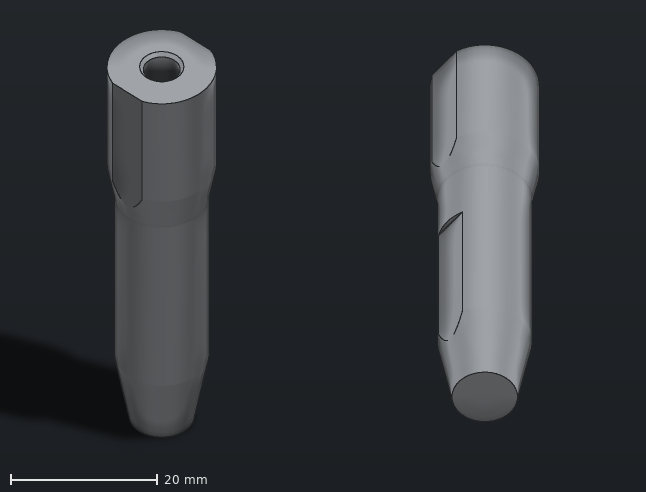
import cadquery as cq
import math

total_length = 65.0
head_diameter = 15.0
shank_diameter = 13.0
tip_height = 11.4
shank_top = 41.0
taper_angle = 10.0

across_flats = 14.0

relief_offset = 5.9
relief_height = 32.05

hole_diameter = 5.0
mouth_diameter = 6.05
hole_depth = 13.0

head_radius = head_diameter / 2
shank_radius = shank_diameter / 2
taper_slope = math.tan(math.radians(taper_angle))
tip_radius = shank_radius - tip_height * taper_slope
head_bottom = shank_top + (head_radius - shank_radius) / taper_slope


def turned_body():
    """Revolve the half profile: tip cone, shank, upper cone and head."""
    profile = [
        (0, 0),
        (tip_radius, 0),
        (shank_radius, tip_height),
        (shank_radius, shank_top),
        (head_radius, head_bottom),
        (head_radius, total_length),
        (0, total_length),
    ]
    return cq.Workplane("XZ").polyline(profile).close().revolve(360, (0, 0), (0, 1))


def flats_envelope():
    """Block whose -Y and +Y faces are the wrench flats."""
    return cq.Workplane("XY").box(
        head_diameter, across_flats, total_length, centered=(True, True, False)
    )


def relief_cutter():
    """Block removing the material beyond the relief flat."""
    return (
        cq.Workplane("XY")
        .box(shank_diameter, shank_radius, relief_height, centered=(True, False, False))
        .translate((0, relief_offset, 0))
    )


def hole_cutter():
    """Flat-bottomed hole with a 45 degree chamfer at its mouth."""
    hole_radius = hole_diameter / 2
    mouth_radius = mouth_diameter / 2
    chamfer = mouth_radius - hole_radius
    profile = [
        (0, total_length - hole_depth),
        (hole_radius, total_length - hole_depth),
        (hole_radius, total_length - chamfer),
        (mouth_radius, total_length),
        (0, total_length),
    ]
    return cq.Workplane("XZ").polyline(profile).close().revolve(360, (0, 0), (0, 1))


result = turned_body().intersect(flats_envelope()).cut(relief_cutter()).cut(hole_cutter())